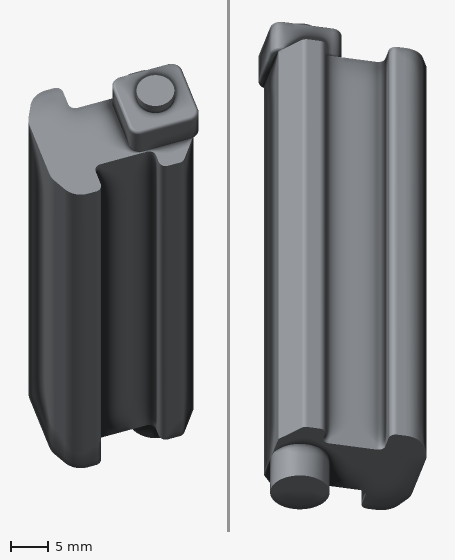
import cadquery as cq
import math

total_height = 75.0
total_depth = 21.4

shank_diameter = 5.1
head_diameter = 8.0
head_height = 5.2
tip_length = 1.65

nut_width = 9.8
nut_height = 4.7
nut_corner_radius = 1.5
nut_edge_radius = 0.45

web_half_width = nut_width / 2
back_y = 4.0
back_half_width = 4.35
wing_half_width = 8.0
wing_slope_end_y = 1.3
wing_front_y = -1.9
flange_half_width = 9.0
flange_back_y = -10.4
flange_side_end_y = -14.5
front_y = nut_width / 2 - total_depth
front_half_width = web_half_width
small_radius = 1.0
large_radius = 3.0

profile_length = total_height - head_height - nut_height - tip_length
joint_front_drop = 21.1
joint_front_z = profile_length - joint_front_drop
joint_angle = 46.0


def mirrored_points(right_side):
    """Return the given points followed by their mirror images across X = 0, in reverse order."""
    return right_side + [(-x, y) for x, y in reversed(right_side)]


def round_corners(body, corners, radius):
    """Fillet the vertical edges at the given corners and at their mirror images."""
    for x, y in mirrored_points(corners):
        corner_edge = cq.selectors.NearestToPointSelector((x, y, profile_length / 2))
        body = body.edges(corner_edge).fillet(radius)
    return body


def make_bar():
    """Full-length profile, before it is split and drilled."""
    back_corner = (back_half_width, back_y)
    small_corners = [
        (wing_half_width, wing_slope_end_y),
        (wing_half_width, wing_front_y),
        (web_half_width, wing_front_y),
        (web_half_width, flange_back_y),
        (flange_half_width, flange_back_y),
    ]
    large_corners = [
        (flange_half_width, flange_side_end_y),
        (front_half_width, front_y),
    ]
    outline = mirrored_points([back_corner] + small_corners + large_corners)
    bar = cq.Workplane("XY").polyline(outline).close().extrude(profile_length)
    bar = round_corners(bar, small_corners, small_radius)
    return round_corners(bar, large_corners, large_radius)


def make_space_below_joint():
    """Block that fills everything under the sloping joint, highest at the front."""
    depth = back_y - front_y
    joint_back_z = joint_front_z - depth * math.tan(math.radians(joint_angle))
    side = [(front_y, 0), (back_y, 0), (back_y, joint_back_z), (front_y, joint_front_z)]
    return cq.Workplane("YZ").polyline(side).close().extrude(flange_half_width, both=True)


def make_screw():
    head = cq.Workplane("XY").circle(head_diameter / 2).extrude(-head_height)
    shank_length = total_height - head_height
    return head.union(cq.Workplane("XY").circle(shank_diameter / 2).extrude(shank_length))


def make_nut():
    nut = cq.Workplane("XY").workplane(offset=profile_length).rect(nut_width, nut_width).extrude(nut_height)
    nut = nut.edges("|Z").fillet(nut_corner_radius)
    return nut.faces("<Z or >Z").edges().fillet(nut_edge_radius)


screw = make_screw()
bar = make_bar()
space_below_joint = make_space_below_joint()

lower_wedge = bar.intersect(space_below_joint).cut(screw)
upper_wedge = bar.cut(space_below_joint).cut(screw)
nut = make_nut().cut(screw)

result = cq.Compound.makeCompound([lower_wedge.val(), upper_wedge.val(), nut.val(), screw.val()])